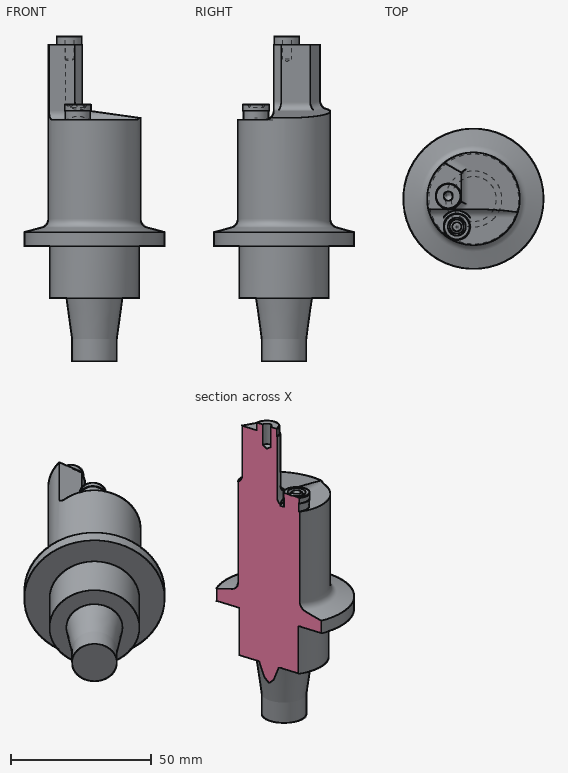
import cadquery as cq
import math

TOTAL_HEIGHT = 115.7
SHANK_TIP_TOP = 8.0
SHANK_CONE_TOP = 22.5
FLANGE_BOTTOM = 41.0
FLANGE_RIM_TOP = 46.0
STEP_FLOOR = 86.0
TOWER_TOP = 112.7

SHANK_TIP_DIAMETER = 16.0
SHANK_CONE_TOP_DIAMETER = 20.0
SHANK_DIAMETER = 32.0
FLANGE_DIAMETER = 50.0
BODY_DIAMETER = 33.0
FLANGE_SLOPE = 15.0
STEP_FILLET = 3.0

TOWER_FRONT_Y = -3.7
TOWER_RIGHT_X = -4.3
TOWER_BACK_CORNER_Y = 9.3
TOWER_BEVEL_CORNER_Y = -1.0
FRONT_ANGLE = -90.0
RIGHT_ANGLE = 0.0
BACK_ANGLE = 60.0
BEVEL_ANGLE = -45.0

REAR_FLOOR_HEIGHT = 88.9
REAR_FLOOR_SLOPE = 8.0

PIN_DIAMETER = 9.0
PIN_EDGE_GAP = 0.15
PIN_CHAMFER = 0.2
PIN_X = TOWER_RIGHT_X - PIN_EDGE_GAP - PIN_DIAMETER / 2
PIN_Y = TOWER_FRONT_Y + PIN_EDGE_GAP + PIN_DIAMETER / 2
PIN_HOLE_DIAMETER = 3.3
PIN_HOLE_DEPTH = 8.0
DRILL_POINT_ANGLE = 118.0

NOZZLE_X = -5.9
NOZZLE_Y = -9.95
NOZZLE_TOP = 91.5
NOZZLE_STEM_DIAMETER = 9.0
NOZZLE_HEAD_DIAMETER = 9.5
NOZZLE_HEAD_BOTTOM = 89.1
NOZZLE_CHAMFER = 0.25
SPOT_FACE_DIAMETER = 11.5
SEAT_DIAMETER = 6.4
SEAT_ANGLE = 60.0
BALL_DIAMETER = 5.4
BALL_FLAT_DIAMETER = 3.2

CUT_SIZE = 100.0


def turned_body():
    """Shank, flange and body revolved about Z, with a fillet above the flange."""
    body_radius = BODY_DIAMETER / 2
    rim_radius = FLANGE_DIAMETER / 2
    slope = math.radians(FLANGE_SLOPE)
    fillet_x = body_radius + STEP_FILLET
    tangent_x = fillet_x - STEP_FILLET * math.sin(slope)
    tangent_z = FLANGE_RIM_TOP + (rim_radius - tangent_x) * math.tan(slope)
    fillet_z = tangent_z + STEP_FILLET * math.cos(slope)
    middle_angle = (math.pi / 2 - slope) / 2
    middle_x = fillet_x - STEP_FILLET * math.cos(middle_angle)
    middle_z = fillet_z - STEP_FILLET * math.sin(middle_angle)
    return (
        cq.Workplane("XZ")
        .moveTo(0, 0)
        .lineTo(SHANK_TIP_DIAMETER / 2, 0)
        .lineTo(SHANK_TIP_DIAMETER / 2, SHANK_TIP_TOP)
        .lineTo(SHANK_CONE_TOP_DIAMETER / 2, SHANK_CONE_TOP)
        .lineTo(SHANK_DIAMETER / 2, SHANK_CONE_TOP)
        .lineTo(SHANK_DIAMETER / 2, FLANGE_BOTTOM)
        .lineTo(rim_radius, FLANGE_BOTTOM)
        .lineTo(rim_radius, FLANGE_RIM_TOP)
        .lineTo(tangent_x, tangent_z)
        .threePointArc((middle_x, middle_z), (body_radius, fillet_z))
        .lineTo(body_radius, TOWER_TOP)
        .lineTo(0, TOWER_TOP)
        .close()
        .revolve(360, (0, 0, 0), (0, 1, 0))
    )


def step_cut(point, angle, floor_height, floor_slope):
    """Space beyond one tower face and above a floor, rounded where the two meet."""
    direction = cq.Vector(math.cos(math.radians(angle)), math.sin(math.radians(angle)), 0)
    block = (
        cq.Workplane("XY")
        .box(CUT_SIZE, 2 * CUT_SIZE, 2 * CUT_SIZE, centered=(False, True, True))
        .rotate((0, 0, 0), (0, 0, 1), angle)
        .translate((point[0], point[1], floor_height))
    )
    below_floor = (
        cq.Workplane("XY")
        .box(4 * CUT_SIZE, 4 * CUT_SIZE, 2 * CUT_SIZE, centered=(True, True, False))
        .translate((0, 0, -2 * CUT_SIZE))
        .rotate((0, 0, 0), (0, 1, 0), floor_slope)
        .translate((0, 0, floor_height))
    )
    tower_face = cq.DirectionMinMaxSelector(direction, directionMax=False)
    return block.cut(below_floor).faces(tower_face).edges("<Z").fillet(STEP_FILLET)


def cut_tower(body):
    """Remove the material around the tower down to the front step and the rear floor."""
    body = body.cut(step_cut((0, TOWER_FRONT_Y), FRONT_ANGLE, STEP_FLOOR, 0))
    rear_faces = [
        ((TOWER_RIGHT_X, 0), RIGHT_ANGLE),
        ((TOWER_RIGHT_X, TOWER_BACK_CORNER_Y), BACK_ANGLE),
        ((TOWER_RIGHT_X, TOWER_BEVEL_CORNER_Y), BEVEL_ANGLE),
    ]
    for point, angle in rear_faces:
        body = body.cut(step_cut(point, angle, REAR_FLOOR_HEIGHT, REAR_FLOOR_SLOPE))
    return body


def cylinder(x, y, bottom, top, diameter):
    """Upright cylinder between two heights."""
    return cq.Workplane("XY", origin=(x, y, bottom)).circle(diameter / 2).extrude(top - bottom)


def downward_cone(x, y, top, diameter, angle):
    """Cone with its base at the given height and its point below."""
    radius = diameter / 2
    depth = radius / math.tan(math.radians(angle / 2))
    return cq.Workplane(cq.Solid.makeCone(radius, 0, depth, cq.Vector(x, y, top), cq.Vector(0, 0, -1)))


def add_pin(body):
    """Pin on the tower with a blind drilled hole."""
    hole_bottom = TOTAL_HEIGHT - PIN_HOLE_DEPTH
    pin = cylinder(PIN_X, PIN_Y, TOWER_TOP, TOTAL_HEIGHT, PIN_DIAMETER)
    pin = pin.faces(">Z").edges().chamfer(PIN_CHAMFER)
    hole = cylinder(PIN_X, PIN_Y, hole_bottom, TOTAL_HEIGHT, PIN_HOLE_DIAMETER)
    drill_point = downward_cone(PIN_X, PIN_Y, hole_bottom, PIN_HOLE_DIAMETER, DRILL_POINT_ANGLE)
    return body.union(pin).cut(hole).cut(drill_point)


def add_nozzle(body):
    """Headed nozzle in a spot face, with a flat-topped ball in a conical seat."""
    spot_face = cylinder(NOZZLE_X, NOZZLE_Y, STEP_FLOOR, TOTAL_HEIGHT, SPOT_FACE_DIAMETER)
    stem = cylinder(NOZZLE_X, NOZZLE_Y, STEP_FLOOR, NOZZLE_HEAD_BOTTOM, NOZZLE_STEM_DIAMETER)
    head = cylinder(NOZZLE_X, NOZZLE_Y, NOZZLE_HEAD_BOTTOM, NOZZLE_TOP, NOZZLE_HEAD_DIAMETER)
    head = head.faces(">Z").edges().chamfer(NOZZLE_CHAMFER)
    seat = downward_cone(NOZZLE_X, NOZZLE_Y, NOZZLE_TOP, SEAT_DIAMETER, SEAT_ANGLE)
    ball_radius = BALL_DIAMETER / 2
    ball_depth = math.sqrt(ball_radius**2 - (BALL_FLAT_DIAMETER / 2) ** 2)
    ball = cq.Workplane("XY").sphere(ball_radius).translate((NOZZLE_X, NOZZLE_Y, NOZZLE_TOP - ball_depth))
    ball = ball.intersect(cylinder(NOZZLE_X, NOZZLE_Y, STEP_FLOOR, NOZZLE_TOP, BALL_DIAMETER))
    nozzle = stem.union(head).cut(seat).union(ball)
    return body.cut(spot_face).union(nozzle)


result = add_nozzle(add_pin(cut_tower(turned_body())))